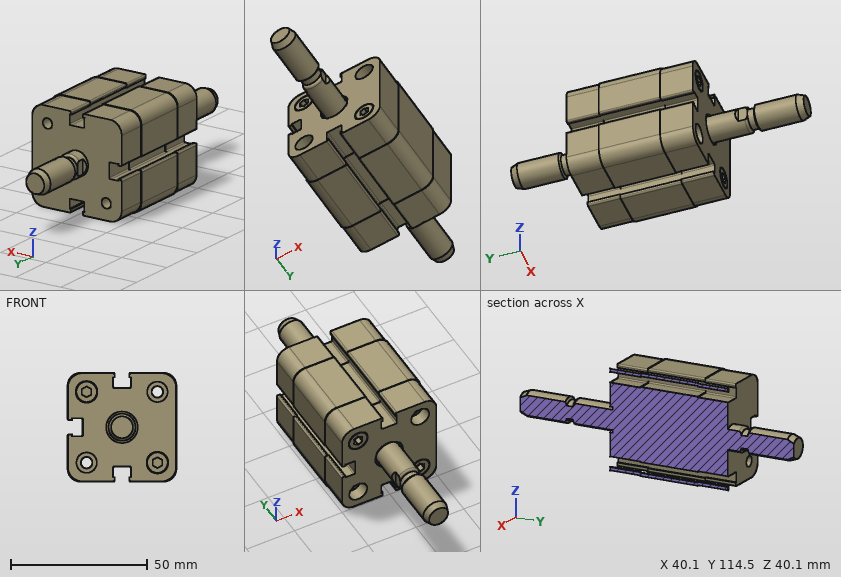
import cadquery as cq
import math

TUBE_SIZE = 40.1
CAP_SIZE = 39.6
BODY_LENGTH = 49.5
CAP_LENGTH = 12.75
TUBE_LENGTH = BODY_LENGTH - 2 * CAP_LENGTH
CORNER_RADIUS = 5.0
FRONT_Y = -BODY_LENGTH / 2
BACK_Y = BODY_LENGTH / 2

SLOT_WIDTH = 6.5
SLOT_MOUTH_WIDTH = 5.3
SLOT_DEPTH = 5.5
SLOT_FLOOR_RADIUS = 0.5
LIP_THICKNESS = 1.5
LIP_RADIUS = (SLOT_WIDTH - SLOT_MOUTH_WIDTH) / 2
SLOT_ANGLES = (0, 90, 180)

HOLE_OFFSET = 13.0
HOLE_DIAMETER = 4.13
COUNTERBORE_DIAMETER = 7.5
COUNTERBORE_DEPTH = 5.0
SCREW_RECESS_DIAMETER = 8.0
SCREW_HEAD_DIAMETER = 7.5
SCREW_RECESS_DEPTH = 4.0
HEX_ACROSS_FLATS = 3.5
HEX_DEPTH = 3.0

ROD_DIAMETER = 10.0
ROD_RECESS_DIAMETER = 11.6
ROD_RECESS_DEPTH = 1.0
FRONT_SHOULDER = 15.5
BACK_SHOULDER = 5.5
STUD_LENGTH = 22.0
NECK_DIAMETER = 7.9
NECK_LENGTH = 2.5
SHOULDER_RADIUS = (ROD_DIAMETER - NECK_DIAMETER) / 2
STUD_ROOT_CHAMFER = 0.6
TIP_DIAMETER = 8.0
TIP_LENGTH = 2.7
ACROSS_FLATS = 8.0
FLAT_LENGTH = 3.45
FLAT_RAMP = (ROD_DIAMETER - ACROSS_FLATS) / 2


def slot_cutter(size, length):
    """T-slot running along Y in the top side of a square of the given size, centred on Y = 0."""
    top = size / 2
    half_width = SLOT_WIDTH / 2
    half_mouth = SLOT_MOUTH_WIDTH / 2
    lip_bottom = top - LIP_THICKNESS
    floor = top - SLOT_DEPTH
    arc_inset = LIP_RADIUS * (1 - math.sqrt(0.5))
    arc_middle_x = half_mouth + arc_inset
    arc_middle_z = top - arc_inset
    profile = (
        cq.Workplane("XZ")
        .moveTo(-half_width, floor)
        .lineTo(half_width, floor)
        .lineTo(half_width, lip_bottom)
        .lineTo(half_mouth, lip_bottom)
        .lineTo(half_mouth, top - LIP_RADIUS)
        .threePointArc((arc_middle_x, arc_middle_z), (half_width, top))
        .lineTo(-half_width, top)
        .threePointArc((-arc_middle_x, arc_middle_z), (-half_mouth, top - LIP_RADIUS))
        .lineTo(-half_mouth, lip_bottom)
        .lineTo(-half_width, lip_bottom)
        .close()
    )
    cutter = profile.extrude(length / 2, both=True)
    return cutter.edges("|Y").edges("<Z").fillet(SLOT_FLOOR_RADIUS)


def housing_section(size, length, center_y):
    """Rounded square length of housing with its slots."""
    section = cq.Workplane("XY").box(size, length, size).edges("|Y").fillet(CORNER_RADIUS)
    for angle in SLOT_ANGLES:
        section = section.cut(slot_cutter(size, length).rotate((0, 0, 0), (0, -1, 0), angle))
    return section.translate((0, center_y, 0))


def make_housing():
    cap_center = (TUBE_LENGTH + CAP_LENGTH) / 2
    housing = housing_section(TUBE_SIZE, TUBE_LENGTH, 0)
    for center_y in (-cap_center, cap_center):
        housing = housing.union(housing_section(CAP_SIZE, CAP_LENGTH, center_y))
    return housing


def front_face():
    """Workplane on the front face; positive extrusions go toward -Y."""
    return cq.Workplane("XZ", origin=(0, FRONT_Y, 0))


def cut_mounting_holes(body):
    """Counterbored through holes on one diagonal."""
    centers = [(HOLE_OFFSET, HOLE_OFFSET), (-HOLE_OFFSET, -HOLE_OFFSET)]
    hole = front_face().pushPoints(centers).circle(HOLE_DIAMETER / 2).extrude(-BODY_LENGTH)
    counterbore = front_face().pushPoints(centers).circle(COUNTERBORE_DIAMETER / 2).extrude(-COUNTERBORE_DEPTH)
    return body.cut(hole).cut(counterbore)


def cut_screws(body):
    """Socket screws on the other diagonal: a ring gap round each flush head, and a hex socket."""
    centers = [(-HOLE_OFFSET, HOLE_OFFSET), (HOLE_OFFSET, -HOLE_OFFSET)]
    hex_corner_radius = HEX_ACROSS_FLATS / math.sqrt(3)
    hex_points = []
    for corner in range(6):
        angle = math.radians(90 + 60 * corner)
        hex_points.append((hex_corner_radius * math.cos(angle), hex_corner_radius * math.sin(angle)))
    for x, z in centers:
        ring_gap = (
            front_face()
            .center(x, z)
            .circle(SCREW_RECESS_DIAMETER / 2)
            .circle(SCREW_HEAD_DIAMETER / 2)
            .extrude(-SCREW_RECESS_DEPTH)
        )
        socket = front_face().center(x, z).polyline(hex_points).close().extrude(-HEX_DEPTH)
        body = body.cut(ring_gap).cut(socket)
    return body


def cut_rod_recess(body):
    """Shallow clearance recess where the rod leaves the front face."""
    return body.cut(front_face().circle(ROD_RECESS_DIAMETER / 2).extrude(-ROD_RECESS_DEPTH))


def rod_end(shoulder):
    """Half of the rod, pointing toward +Y from Y = 0; shoulder is measured from the housing face."""
    rod_radius = ROD_DIAMETER / 2
    neck_radius = NECK_DIAMETER / 2
    shoulder_y = BACK_Y + shoulder
    neck_end = shoulder_y + NECK_LENGTH
    tip_y = shoulder_y + STUD_LENGTH
    arc_reach = SHOULDER_RADIUS * (1 - math.sqrt(0.5))
    rod = (
        cq.Workplane("XY")
        .lineTo(rod_radius, 0)
        .lineTo(rod_radius, shoulder_y - SHOULDER_RADIUS)
        .threePointArc((rod_radius - arc_reach, shoulder_y - arc_reach), (neck_radius, shoulder_y))
        .lineTo(neck_radius, neck_end)
        .lineTo(rod_radius, neck_end + STUD_ROOT_CHAMFER)
        .lineTo(rod_radius, tip_y - TIP_LENGTH)
        .lineTo(TIP_DIAMETER / 2, tip_y)
        .lineTo(0, tip_y)
        .close()
        .revolve(360, (0, 0, 0), (0, 1, 0))
    )
    flat_start = shoulder_y - FLAT_LENGTH
    flat_cutter = (
        cq.Workplane("XY")
        .moveTo(ACROSS_FLATS / 2, shoulder_y)
        .lineTo(ACROSS_FLATS / 2, flat_start)
        .lineTo(rod_radius, flat_start - FLAT_RAMP)
        .lineTo(rod_radius, shoulder_y)
        .close()
        .extrude(ROD_DIAMETER, both=True)
    )
    return rod.cut(flat_cutter).cut(flat_cutter.mirror("YZ"))


body = make_housing()
body = cut_mounting_holes(body)
body = cut_screws(body)
body = cut_rod_recess(body)
back_rod = rod_end(BACK_SHOULDER)
front_rod = rod_end(FRONT_SHOULDER).mirror("XZ")
result = body.union(back_rod).union(front_rod)